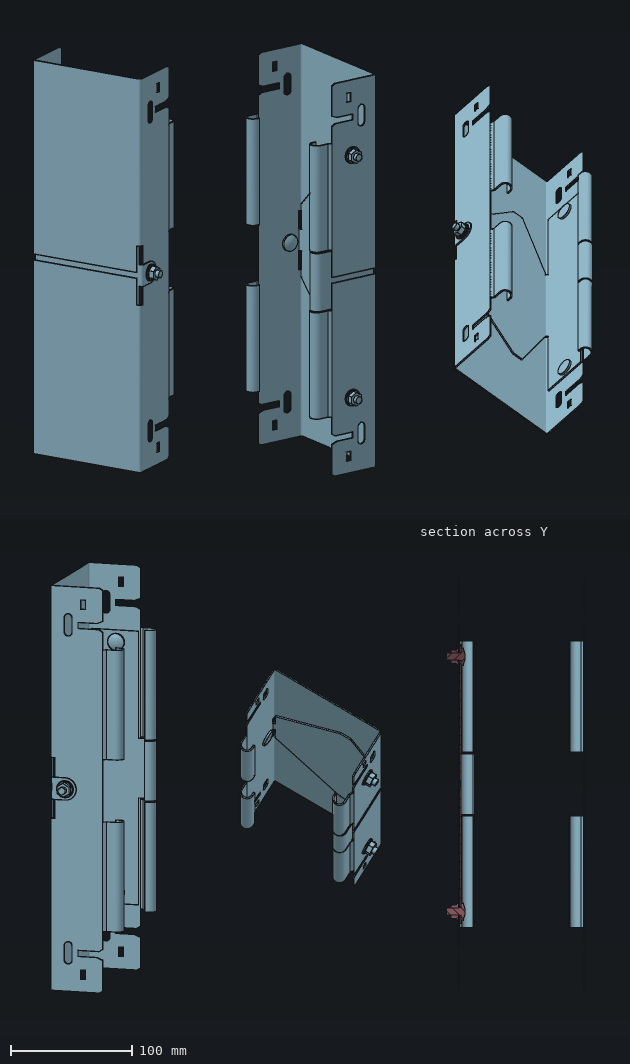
import cadquery as cq

LENGTH = 340.0
WIDTH = 104.5
SHEET = 1.25
BEND_RADIUS = 2.5
INNER_BEND_RADIUS = BEND_RADIUS - SHEET
WALL_HEIGHT = 45.5
HALF_WIDTH = WIDTH / 2

HEIGHT = 61.5
COVER_HOOK_RADIUS = 5.8
PLATE_HOOK_RADIUS = 6.0
HOOK_TIP_Y = 53.0
COVER_JOG = 1.87
JOG_TOP_Y = 48.3
COVER_HOOK_START = 26.2
COVER_HOOK_END = 118.3

GAP = 5.0
CORNER_NOTCH = 4.0
CORNER_NOTCH_LENGTH = 51.0

END_CHAMFER_Y = 3.0
END_CHAMFER_Z = 1.7
SLOT_Z = 137.7
EDGE_SLOT_BOTTOM_Y = 24.0
EDGE_SLOT_WIDTH = 5.0
OUTER_FLARE_Y = 5.0
OUTER_FLARE_Z = 2.0
INNER_FLARE_Y = 3.5
INNER_FLARE_Z = 2.0
LONG_SLOT_Y = 15.5
LONG_SLOT_LENGTH = 18.7
LONG_SLOT_WIDTH = 6.8
SMALL_SLOT_Y = 28.5
SMALL_SLOT_Z = 155.5
SMALL_SLOT_LENGTH = 7.8
SMALL_SLOT_WIDTH = 4.0

PLATE_WALL_TOP = 44.2
PLATE_WALL_LENGTH = 230.0
PLATE_HOOK_LENGTH = 50.3
PLATE_TIE_HALF = 41.5
PLATE_PEAK_HALF = 95.2
PLATE_PEAK_LEFT = 29.5
PLATE_PEAK_RIGHT = 39.5
PLATE_END_HALF = 32.0
TONGUE_WIDTH = 18.7

BOLT_DIAMETER = 6.0
SHANK_LENGTH = 12.2
HEAD_DIAMETER = 14.3
HEAD_RIM = 1.7
HEAD_DOME = 1.7
NUT_FLATS = 10.2
NUT_HEIGHT = 6.0
FLANGE_DIAMETER = 14.3
FLANGE_HEIGHT = 1.7
FLANGE_CHAMFER = 0.7
SIDE_BOLT_Y = 25.0
SIDE_BOLT_Z = 105.0
HINGE_BOLT_Y = 13.5


def box(x0, x1, y0, y1, z0, z1):
    return cq.Workplane("XY").box(x1 - x0, y1 - y0, z1 - z0, centered=False).translate((x0, y0, z0))


def slab(outline, z0, z1):
    """Extrude a closed XY outline from z0 to z1."""
    return outline.close().extrude(z1 - z0).translate((0, 0, z0))


def hook(foot, wall_x, radius, z0, z1):
    """Hook on the -X side: a wall from the foot point to wall_x, rolled inwards at the top."""
    foot_x, foot_y = foot
    crown_x = wall_x + radius
    tip_x = crown_x + radius
    centre_y = HEIGHT - radius
    outline = (
        cq.Workplane("XY")
        .moveTo(foot_x, foot_y)
        .lineTo(wall_x, JOG_TOP_Y)
        .lineTo(wall_x, centre_y)
        .threePointArc((crown_x, HEIGHT), (tip_x, centre_y))
        .lineTo(tip_x, HOOK_TIP_Y)
        .lineTo(tip_x - SHEET, HOOK_TIP_Y)
        .lineTo(tip_x - SHEET, centre_y)
        .threePointArc((crown_x, HEIGHT - SHEET), (wall_x + SHEET, centre_y))
        .lineTo(wall_x + SHEET, JOG_TOP_Y)
        .lineTo(foot_x + SHEET, foot_y)
    )
    return slab(outline, z0, z1)


def bolt_hole(y, z):
    """Cylinder along X, long enough to pierce either wall."""
    return cq.Workplane("YZ").center(y, z).circle(BOLT_DIAMETER / 2).extrude(WIDTH)


def cover_channel():
    outside = box(-HALF_WIDTH, HALF_WIDTH, 0, WALL_HEIGHT, -LENGTH / 2, LENGTH / 2)
    outside = outside.edges("|Z and <Y").fillet(BEND_RADIUS)
    inside_x = HALF_WIDTH - SHEET
    inside = box(-inside_x, inside_x, SHEET, WALL_HEIGHT, -LENGTH / 2, LENGTH / 2)
    inside = inside.edges("|Z and <Y").fillet(INNER_BEND_RADIUS)
    return outside.cut(inside)


def wall_end_openings():
    """Cuts through both walls at the +Z end."""
    def through(sketch):
        return sketch.extrude(HALF_WIDTH, both=True)

    end_z = LENGTH / 2
    corner = through(
        cq.Workplane("YZ")
        .moveTo(WALL_HEIGHT, end_z)
        .lineTo(WALL_HEIGHT - END_CHAMFER_Y, end_z)
        .lineTo(WALL_HEIGHT, end_z - END_CHAMFER_Z)
        .close()
    )
    slot_top = SLOT_Z + EDGE_SLOT_WIDTH / 2
    slot_bottom = SLOT_Z - EDGE_SLOT_WIDTH / 2
    edge_slot = through(
        cq.Workplane("YZ")
        .moveTo(EDGE_SLOT_BOTTOM_Y, slot_bottom)
        .lineTo(WALL_HEIGHT - INNER_FLARE_Y, slot_bottom)
        .lineTo(WALL_HEIGHT, slot_bottom - INNER_FLARE_Z)
        .lineTo(WALL_HEIGHT, slot_top + OUTER_FLARE_Z)
        .lineTo(WALL_HEIGHT - OUTER_FLARE_Y, slot_top)
        .lineTo(EDGE_SLOT_BOTTOM_Y, slot_top)
        .close()
    )
    long_slot = through(
        cq.Workplane("YZ").center(LONG_SLOT_Y, SLOT_Z).slot2D(LONG_SLOT_LENGTH, LONG_SLOT_WIDTH, 90)
    )
    small_slot = through(
        cq.Workplane("YZ").center(SMALL_SLOT_Y, SMALL_SLOT_Z).rect(SMALL_SLOT_WIDTH, SMALL_SLOT_LENGTH)
    )
    return corner.union(edge_slot).union(long_slot).union(small_slot)


def make_cover():
    cover = cover_channel()
    foot = (-HALF_WIDTH, WALL_HEIGHT)
    hook_x = -HALF_WIDTH + COVER_JOG
    upper_hook = hook(foot, hook_x, COVER_HOOK_RADIUS, COVER_HOOK_START, COVER_HOOK_END)
    side_hooks = upper_hook.union(upper_hook.mirror("XY"))
    cover = cover.union(side_hooks).union(side_hooks.mirror("YZ"))

    openings = wall_end_openings()
    cover = cover.cut(openings).cut(openings.mirror("XY"))

    notch_x = HALF_WIDTH - CORNER_NOTCH
    cover = cover.cut(box(-HALF_WIDTH, notch_x, 0, WALL_HEIGHT, -GAP / 2, GAP / 2))
    half_notch = CORNER_NOTCH_LENGTH / 2
    cover = cover.cut(box(notch_x, HALF_WIDTH, 0, CORNER_NOTCH, -half_notch, half_notch))

    for z in (SIDE_BOLT_Z, -SIDE_BOLT_Z):
        cover = cover.cut(bolt_hole(SIDE_BOLT_Y, z).mirror("YZ"))
    return cover.cut(bolt_hole(HINGE_BOLT_Y, 0))


def plate_base():
    """Flat eight-sided plate, symmetric about Z = 0, lying on the cover base."""
    tie_x = -HALF_WIDTH + SHEET + BEND_RADIUS
    end_x = HALF_WIDTH - BEND_RADIUS
    upper_edge = [
        (tie_x, PLATE_TIE_HALF),
        (-HALF_WIDTH + PLATE_PEAK_LEFT, PLATE_PEAK_HALF),
        (-HALF_WIDTH + PLATE_PEAK_RIGHT, PLATE_PEAK_HALF),
        (end_x, PLATE_END_HALF),
    ]
    lower_edge = [(x, -z) for x, z in reversed(upper_edge)]
    plane = cq.Workplane("XZ", origin=(0, 2 * SHEET, 0))
    return plane.polyline(upper_edge + lower_edge).close().extrude(SHEET)


def bend(centre_x, side, z_half):
    """Quarter bend from the plate base up to a wall; side is -1 for a -X wall, +1 for +X."""
    centre_y = SHEET + BEND_RADIUS
    ring = (
        cq.Workplane("XY")
        .center(centre_x, centre_y)
        .circle(BEND_RADIUS)
        .circle(INNER_BEND_RADIUS)
        .extrude(z_half, both=True)
    )
    far_x = centre_x + side * BEND_RADIUS
    quarter = box(min(centre_x, far_x), max(centre_x, far_x), SHEET, centre_y, -z_half, z_half)
    return ring.intersect(quarter)


def plate_tongue():
    """Round-ended tongue passing through the corner notch and up the outside of the +X wall."""
    half = TONGUE_WIDTH / 2
    bend_x = HALF_WIDTH + SHEET - BEND_RADIUS
    foot = box(HALF_WIDTH - BEND_RADIUS, bend_x, SHEET, 2 * SHEET, -half, half)
    wall = box(HALF_WIDTH, HALF_WIDTH + SHEET, SHEET + BEND_RADIUS, HINGE_BOLT_Y, -half, half)
    tip = (
        cq.Workplane("YZ", origin=(HALF_WIDTH, 0, 0))
        .center(HINGE_BOLT_Y, 0)
        .circle(half)
        .extrude(SHEET)
    )
    return foot.union(bend(bend_x, 1, half)).union(wall).union(tip)


def make_plate():
    wall_x = -HALF_WIDTH + SHEET
    bend_top = SHEET + BEND_RADIUS
    half = PLATE_WALL_LENGTH / 2
    plate = plate_base()
    plate = plate.union(bend(wall_x + BEND_RADIUS, -1, PLATE_TIE_HALF))
    plate = plate.union(box(wall_x, wall_x + SHEET, bend_top, PLATE_WALL_TOP, -half, half))
    half_hook = PLATE_HOOK_LENGTH / 2
    plate = plate.union(hook((wall_x, PLATE_WALL_TOP), wall_x, PLATE_HOOK_RADIUS, -half_hook, half_hook))
    plate = plate.union(plate_tongue())

    for z in (SIDE_BOLT_Z, -SIDE_BOLT_Z):
        plate = plate.cut(bolt_hole(SIDE_BOLT_Y, z).mirror("YZ"))
    return plate.cut(bolt_hole(HINGE_BOLT_Y, 0))


def make_bolt():
    """Domed bolt along +X with the bearing face of its head at X = 0."""
    head_radius = HEAD_DIAMETER / 2
    dome_radius = (head_radius**2 + HEAD_DOME**2) / (2 * HEAD_DOME)
    rim = cq.Workplane("YZ").circle(head_radius).extrude(-HEAD_RIM - HEAD_DOME)
    dome = cq.Workplane("XY").sphere(dome_radius).translate((dome_radius - HEAD_RIM - HEAD_DOME, 0, 0))
    shank = cq.Workplane("YZ").circle(BOLT_DIAMETER / 2).extrude(SHANK_LENGTH)
    return rim.intersect(dome).union(shank)


def make_nut(seat):
    """Flanged hex nut along +X with its seat at X = seat and corners towards +Z and -Z."""
    corner_diameter = NUT_FLATS / 0.75**0.5
    plane = cq.Workplane("YZ", origin=(seat, 0, 0))
    hexagon = plane.polygon(6, corner_diameter).extrude(NUT_HEIGHT).rotate((0, 0, 0), (1, 0, 0), 90)
    flange = plane.circle(FLANGE_DIAMETER / 2).extrude(FLANGE_HEIGHT)
    flange = flange.faces(">X").chamfer(FLANGE_CHAMFER)
    bore = plane.circle(BOLT_DIAMETER / 2).extrude(NUT_HEIGHT)
    return hexagon.union(flange).cut(bore)


def make_fastener_pair():
    """Bolt and nut clamping two sheets, head bearing at X = 0."""
    return [make_bolt(), make_nut(2 * SHEET)]


cover = make_cover()
joining_plate = make_plate()

bolts = []
nuts = []
for z in (SIDE_BOLT_Z, -SIDE_BOLT_Z):
    bolt, nut = [part.mirror("YZ") for part in make_fastener_pair()]
    place = (-HALF_WIDTH + 2 * SHEET, SIDE_BOLT_Y, z)
    bolts.append(bolt.translate(place))
    nuts.append(nut.translate(place))

hinge_bolt, hinge_nut = make_fastener_pair()
hinge_place = (HALF_WIDTH - SHEET, HINGE_BOLT_Y, 0)
bolts.append(hinge_bolt.translate(hinge_place))
nuts.append(hinge_nut.translate(hinge_place))

fasteners = [part.val() for part in bolts + nuts]
result = cq.Compound.makeCompound([cover.val(), joining_plate.val(), *fasteners])